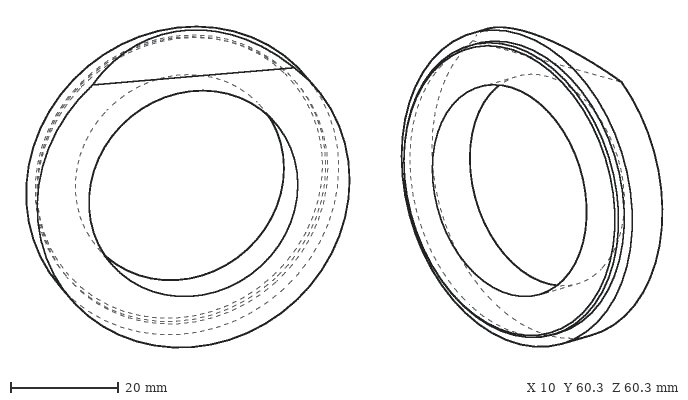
import cadquery as cq
import math

outer_diameter = 60.3
bore_diameter = 40.3
total_width = 10.0

shoulder_diameter = 56.1
shoulder_width = 2.0
shoulder_chamfer = 0.5

flat_width = 5.95
flat_angle = 50.0
flat_depth = flat_width * math.tan(math.radians(flat_angle))


def disc(diameter, start_x, width):
    """Solid cylinder along X, starting at start_x."""
    return cq.Workplane("YZ").workplane(offset=start_x).circle(diameter / 2).extrude(width)


def flat_cutter():
    """Triangular prism that removes the top +X corner of the rim.

    It reaches past the rim by one flat size, keeping the same slope.
    """
    rim_top = outer_diameter / 2
    return (
        cq.Workplane("XZ")
        .moveTo(total_width - 2 * flat_width, rim_top + flat_depth)
        .lineTo(total_width + flat_width, rim_top - 2 * flat_depth)
        .lineTo(total_width + flat_width, rim_top + flat_depth)
        .close()
        .extrude(outer_diameter / 2, both=True)
    )


shoulder = disc(shoulder_diameter, 0, shoulder_width).faces("<X").edges().chamfer(shoulder_chamfer)
rim = disc(outer_diameter, shoulder_width, total_width - shoulder_width)
bore = disc(bore_diameter, 0, total_width)

result = shoulder.union(rim).cut(bore).cut(flat_cutter())